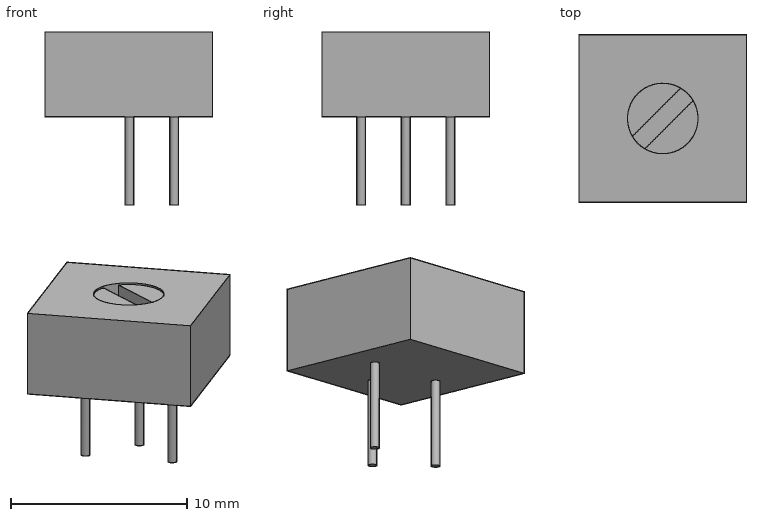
import cadquery as cq

body_side = 9.53
overall_height = 9.83
pin_length = 5.0
body_height = overall_height - pin_length

rotor_diameter = 4.0
rotor_recess = 0.1
slot_width = 1.0
slot_depth = 1.0
slot_floor_depth = rotor_recess + slot_depth
slot_angle = 45.0

pin_diameter = 0.51
pin_pitch = 2.54
pin_row_x = 0.04
pin_positions = [
    (pin_row_x, -pin_pitch),
    (pin_row_x + pin_pitch, 0),
    (pin_row_x, pin_pitch),
]


def rotor_disc(depth):
    """Disc of the rotor's diameter, reaching down from the top face."""
    return (
        cq.Workplane("XY")
        .workplane(offset=body_height - depth)
        .circle(rotor_diameter / 2)
        .extrude(depth)
    )


def screwdriver_slot():
    """Diagonal slot whose ends follow the round edge of the rotor."""
    bar = (
        cq.Workplane("XY")
        .workplane(offset=body_height - slot_floor_depth)
        .rect(rotor_diameter, slot_width)
        .extrude(slot_floor_depth)
        .rotate((0, 0, 0), (0, 0, 1), slot_angle)
    )
    return bar.intersect(rotor_disc(slot_floor_depth))


def pins():
    return (
        cq.Workplane("XY")
        .pushPoints(pin_positions)
        .circle(pin_diameter / 2)
        .extrude(-pin_length)
    )


housing = cq.Workplane("XY").rect(body_side, body_side).extrude(body_height)
result = housing.cut(rotor_disc(rotor_recess)).cut(screwdriver_slot()).union(pins())